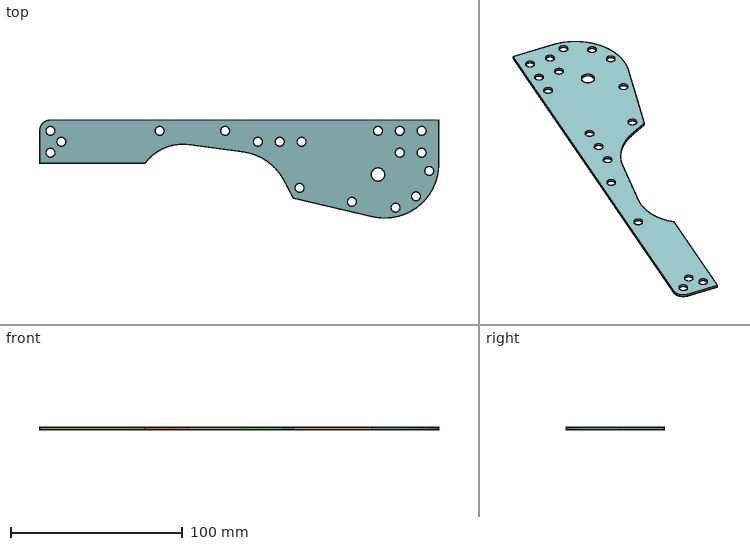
import cadquery as cq
import math

length = 232.5
width = 57.2
thickness = 1.58
arm_width = 25.3
corner_radius = 6.3

end_radius = 31.5
end_center = (length - end_radius, end_radius - width)

hump_radius = 27.5
hump_center = (83.5, -41.5)
shoulder_radius = 31.4
shoulder_center = (114.3, -49.7)
heel = (147.5, -45.5)

pitch = 8.2 / 3
hole_diameter = 5.0
pivot_diameter = 7.7
grid_cells = [
    (2.3, 2.3), (4.6, 4.6), (2.3, 7),
    (25.5, 2.3), (39.5, 2.3),
    (46.5, 4.6), (51.1, 4.6), (55.8, 4.6),
    (72, 2.3), (76.7, 2.3), (81.3, 2.3), (76.7, 7), (81.3, 7),
]
pivot_cell = (72, 11.6)

rim_hole_radius = 26.3
rim_hole_angles = [-9, -46, -76]
edge_holes = [(151.3, -39.5), (181.7, -47.6)]


def on_circle(center, radius, angle):
    return (center[0] + radius * math.cos(angle), center[1] + radius * math.sin(angle))


def tangent_angle(center, radius, point, side):
    """Angle on the circle where a line from an outside point touches it; side is +1 or -1."""
    dx = point[0] - center[0]
    dy = point[1] - center[1]
    return math.atan2(dy, dx) + side * math.acos(radius / math.hypot(dx, dy))


def grid_point(cell):
    return (cell[0] * pitch, -cell[1] * pitch)


def make_outline():
    dx = shoulder_center[0] - hump_center[0]
    dy = shoulder_center[1] - hump_center[1]
    radius_change = hump_radius - shoulder_radius
    bridge = math.atan2(dy, dx) + math.acos(radius_change / math.hypot(dx, dy))
    shoulder_end = tangent_angle(shoulder_center, shoulder_radius, heel, 1)
    end_start = tangent_angle(end_center, end_radius, heel, 1)

    arm_rise = -arm_width - hump_center[1]
    hump_start = math.pi - math.asin(arm_rise / hump_radius)
    arm_end = on_circle(hump_center, hump_radius, hump_start)

    def arc_points(center, radius, start, end):
        middle = on_circle(center, radius, (start + end) / 2)
        return middle, on_circle(center, radius, end)

    return (
        cq.Workplane("XY")
        .moveTo(0, 0)
        .lineTo(0, -arm_width)
        .lineTo(*arm_end)
        .threePointArc(*arc_points(hump_center, hump_radius, hump_start, bridge))
        .lineTo(*on_circle(shoulder_center, shoulder_radius, bridge))
        .threePointArc(*arc_points(shoulder_center, shoulder_radius, bridge, shoulder_end))
        .lineTo(*heel)
        .lineTo(*on_circle(end_center, end_radius, end_start))
        .threePointArc(*arc_points(end_center, end_radius, end_start % math.tau, math.tau))
        .lineTo(length, 0)
        .close()
    )


plate = make_outline().extrude(thickness)
plate = plate.faces("<X").edges(">Y").fillet(corner_radius)

small_holes = [grid_point(cell) for cell in grid_cells] + edge_holes
small_holes += [on_circle(end_center, rim_hole_radius, math.radians(a)) for a in rim_hole_angles]


def drill(points, diameter):
    return cq.Workplane("XY").pushPoints(points).circle(diameter / 2).extrude(thickness)


result = plate.cut(drill(small_holes, hole_diameter)).cut(drill([grid_point(pivot_cell)], pivot_diameter))